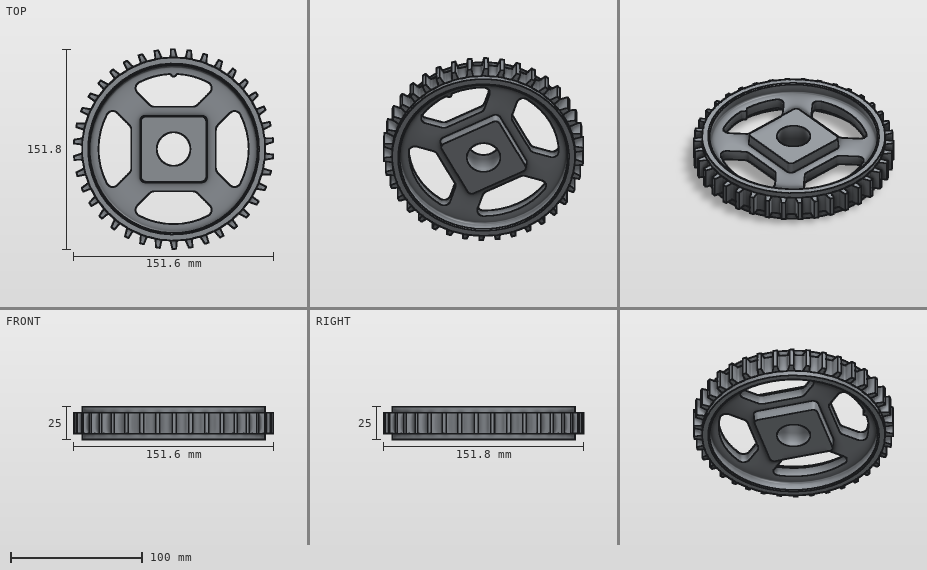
import cadquery as cq
import math

RIM_RADIUS = 69.5
RIM_WIDTH = 25.0
RIM_BORE_RADIUS = 63.8
LIP_CHAMFER_WIDTH = 1.2
LIP_CHAMFER_DEPTH = 0.8
WEB_FILLET = 2.0

WEB_THICKNESS = 8.4
WINDOW_COUNT = 4
WINDOW_INNER_DISTANCE = 32.2
WINDOW_OUTER_RADIUS = 57.0
SPOKE_WIDTH = 21.9
WINDOW_INNER_FILLET = 5.3
WINDOW_OUTER_FILLET = 4.9

NUB_RADIUS = 2.0
NUB_FILLET = 1.5

HUB_SIDE = 50.9
HUB_CORNER_RADIUS = 4.3
HUB_DRAFT = 5.0
BORE_DIAMETER = 25.4

TOOTH_COUNT = 38
TOOTH_BAND_WIDTH = 16.0
TIP_RADIUS = 75.9
ROOT_RADIUS = 69.2
DRIVE_TIP_OFFSET = 2.1
DRIVE_ROOT_OFFSET = 2.5
BACK_TIP_OFFSET = 0.9
BACK_ROOT_OFFSET = 2.6
TOOTH_ROOT_FILLET = 1.8

HALF_RIM = RIM_WIDTH / 2
HALF_WEB = WEB_THICKNESS / 2


def centered_prism(outline, thickness):
    """Extrude a closed XY outline symmetrically about the mid-plane."""
    return outline.extrude(thickness / 2, both=True)


def make_wheel_body():
    """Rim and web as one revolved section, mirrored about the mid-plane."""
    half = (
        cq.Workplane("XZ")
        .moveTo(0, 0)
        .lineTo(ROOT_RADIUS, 0)
        .lineTo(ROOT_RADIUS, TOOTH_BAND_WIDTH / 2)
        .lineTo(RIM_RADIUS, TOOTH_BAND_WIDTH / 2)
        .lineTo(RIM_RADIUS, HALF_RIM)
        .lineTo(RIM_BORE_RADIUS + LIP_CHAMFER_WIDTH, HALF_RIM)
        .lineTo(RIM_BORE_RADIUS, HALF_RIM - LIP_CHAMFER_DEPTH)
        .lineTo(RIM_BORE_RADIUS, HALF_WEB + WEB_FILLET)
        .radiusArc((RIM_BORE_RADIUS - WEB_FILLET, HALF_WEB), WEB_FILLET)
        .lineTo(0, HALF_WEB)
        .close()
        .revolve(360, (0, 0, 0), (0, 1, 0))
    )
    return half.union(half.mirror("XY"))


def make_tooth_ring():
    """Root ring carrying the asymmetric teeth, with filleted tooth roots."""
    ring = centered_prism(cq.Workplane("XY").circle(ROOT_RADIUS), TOOTH_BAND_WIDTH)
    drive_tip_y = math.sqrt(TIP_RADIUS**2 - DRIVE_TIP_OFFSET**2)
    back_tip_y = math.sqrt(TIP_RADIUS**2 - BACK_TIP_OFFSET**2)
    drive_root_y = math.sqrt(ROOT_RADIUS**2 - DRIVE_ROOT_OFFSET**2)
    back_root_y = math.sqrt(ROOT_RADIUS**2 - BACK_ROOT_OFFSET**2)
    tooth = centered_prism(
        cq.Workplane("XY")
        .moveTo(0, RIM_BORE_RADIUS)
        .lineTo(-DRIVE_ROOT_OFFSET, drive_root_y)
        .lineTo(-DRIVE_TIP_OFFSET, drive_tip_y)
        .threePointArc((0, TIP_RADIUS), (BACK_TIP_OFFSET, back_tip_y))
        .lineTo(BACK_ROOT_OFFSET, back_root_y)
        .close(),
        TOOTH_BAND_WIDTH,
    )
    for index in range(TOOTH_COUNT):
        ring = ring.union(tooth.rotate((0, 0, 0), (0, 0, 1), 360 * index / TOOTH_COUNT))
    middle_radius = (ROOT_RADIUS + TIP_RADIUS) / 2
    root_edges = [
        edge
        for edge in ring.edges("|Z").vals()
        if math.hypot(edge.Center().x, edge.Center().y) < middle_radius
    ]
    ring = ring.newObject(root_edges).fillet(TOOTH_ROOT_FILLET)
    hollow = centered_prism(cq.Workplane("XY").circle(RIM_BORE_RADIUS + LIP_CHAMFER_WIDTH), RIM_WIDTH)
    return ring.cut(hollow)


def make_window():
    """Window on the +Y side, bounded by two spokes, the hub frame and the outer arc."""
    spoke_edge_y = SPOKE_WIDTH / math.sqrt(2)
    inner_x = WINDOW_INNER_DISTANCE - spoke_edge_y
    outer_x = (math.sqrt(2 * WINDOW_OUTER_RADIUS**2 - spoke_edge_y**2) - spoke_edge_y) / 2
    outer_y = outer_x + spoke_edge_y
    window = centered_prism(
        cq.Workplane("XY")
        .moveTo(-inner_x, WINDOW_INNER_DISTANCE)
        .lineTo(inner_x, WINDOW_INNER_DISTANCE)
        .lineTo(outer_x, outer_y)
        .threePointArc((0, WINDOW_OUTER_RADIUS), (-outer_x, outer_y))
        .close(),
        RIM_WIDTH,
    )
    window = window.edges("|Z").edges("<Y").fillet(WINDOW_INNER_FILLET)
    return window.edges("|Z").edges("<X or >X").fillet(WINDOW_OUTER_FILLET)


def make_window_with_nub():
    """The +Y window with a round index nub reaching inward from its outer arc."""
    nub = centered_prism(
        cq.Workplane("XY").center(0, WINDOW_OUTER_RADIUS).circle(NUB_RADIUS),
        RIM_WIDTH,
    )
    nub_box = cq.selectors.BoxSelector(
        (-2 * NUB_RADIUS, WINDOW_OUTER_RADIUS - NUB_RADIUS, -RIM_WIDTH),
        (2 * NUB_RADIUS, WINDOW_OUTER_RADIUS + NUB_RADIUS, RIM_WIDTH),
    )
    return make_window().cut(nub).edges("|Z").edges(nub_box).fillet(NUB_FILLET)


def make_hub():
    """Square hub drafted from the web to both rim faces."""
    half = (
        cq.Workplane("XY", origin=(0, 0, HALF_WEB))
        .sketch()
        .rect(HUB_SIDE, HUB_SIDE)
        .vertices()
        .fillet(HUB_CORNER_RADIUS)
        .finalize()
        .extrude(HALF_RIM - HALF_WEB, taper=HUB_DRAFT)
    )
    return half.union(half.mirror("XY"))


wheel = make_wheel_body().union(make_tooth_ring())
wheel = wheel.cut(make_window_with_nub())
plain_window = make_window()
for index in range(1, WINDOW_COUNT):
    wheel = wheel.cut(plain_window.rotate((0, 0, 0), (0, 0, 1), 360 * index / WINDOW_COUNT))
wheel = wheel.union(make_hub())
bore = centered_prism(cq.Workplane("XY").circle(BORE_DIAMETER / 2), RIM_WIDTH)
result = wheel.cut(bore)